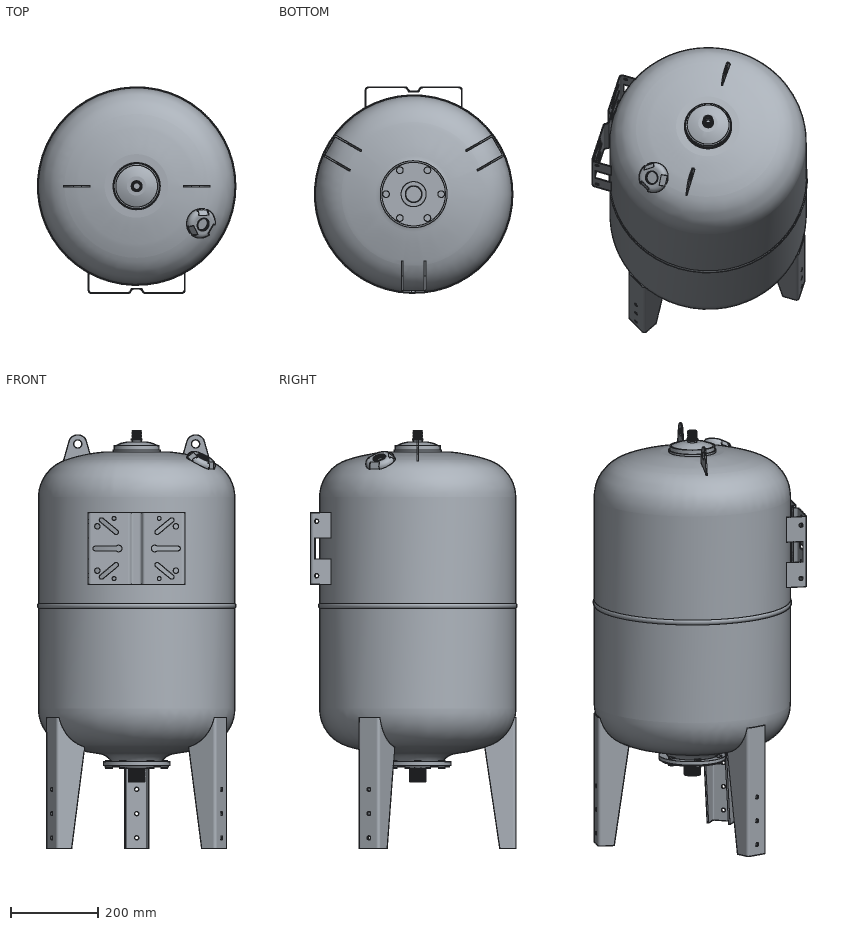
import cadquery as cq
import math

TANK_R = 225.0
LOWER_SEAM_Z = 321.0
UPPER_SEAM_Z = 804.0
KNUCKLE_R = 90.0
CROWN_R = 373.0
TANGENT_R = 165.0
BAND_BULGE = 2.4
BAND_R = TANK_R + BAND_BULGE
BAND_Z = 556.0
BAND_HEIGHT = 11.5
TOP_FLAT_R = 73.0

CAP_R = 52.0
CAP_LIP_R = 108.0 / 2
CAP_LIP_TOP_Z = 913.0
CAP_RIM_Z = 923.0
CAP_TOP_Z = 931.0
CAP_TOP_R = 22.0
CAP_DOME_R = 48.0
CAP_DOME_BULGE = 1.4
COLLAR_R = 12.0
COLLAR_Z = 935.0
COLLAR_HEIGHT = 3.0
STEM_R = 11.0
STEM_BORE_R = 8.0
STEM_TOP_Z = 957.0
STEM_THREADS = 7

FLARE_TOP_R = 86.0
FLARE_BOTTOM_R = 57.0
FLANGE_R = 77.0
FLANGE_TOP_Z = 199.0
COVER_R = 73.0
COVER_TOP_Z = 190.0
COVER_BOTTOM_Z = 188.0
HUB_R = 29.0
HUB_BOTTOM_Z = 184.0
SPIGOT_R = 19.0
SPIGOT_BOTTOM_Z = 153.0
SPIGOT_THREADS = 8
THREAD_DEPTH = 1.0
BOLT_COUNT = 6
BOLT_R = 8.0
BOLT_CIRCLE_R = 63.0
BOLT_TOP_Z = 202.0

LEG_COUNT = 3
FIRST_LEG_ANGLE = 90.0
LEG_WIDTH = 55.5
LEG_WALL = 4.0
LEG_BEND_R = 7.0
LEG_TOP_Z = 300.5
LEG_FOOT_R = 188.0
LEG_SHOULDER_R = 153.0
LEG_SHOULDER_Z = 233.5
LEG_HOLE_D = 9.0
LEG_HOLE_Z = 25.0
LEG_HOLE_PITCH = 55.5
LEG_HOLE_COUNT = 3

LUG_X = 135.0
LUG_THICKNESS = 3.0
LUG_HEAD_R = 21.0
LUG_HEAD_Z = 926.0
LUG_HOLE_D = 18.0
LUG_FOOT_HALF = 33.5
LUG_FOOT_Z = 885.0

PLUG_ANGLE = -30.0
PLUG_TILT = 30.0
PLUG_CENTER_R = 171.0
PLUG_CENTER_Z = 887.0
PLUG_R = 34.0
PLUG_ABOVE = 11.0
PLUG_BELOW = 19.0
PLUG_ROUND = 11.5
PLUG_RECESS_R = 15.0
PLUG_RECESS_DEPTH = 10.0
PLUG_THREADS = 3
PLUG_GRIP_COUNT = 3
PLUG_GRIP_DEPTH = 4.0
PLUG_GRIP_WIDTH = 25.0
PLUG_GRIP_TOP_R = 22.0
PLUG_GRIP_BOTTOM_R = 32.0

BRACKET_WIDTH = 222.0
BRACKET_BOTTOM_Z = 605.0
BRACKET_HEIGHT = 165.0
OVERALL_DEPTH = 473.0
BRACKET_FRONT_Y = BAND_R - OVERALL_DEPTH
BRACKET_WALL = 2.0
BRACKET_BEND_R = 8.0
BRACKET_FLANGE_END_Y = -198.0
GROOVE_MOUTH_HALF = 16.0
GROOVE_FLOOR_HALF = 10.0
GROOVE_DEPTH = 10.0
GROOVE_BEND_R = 6.0
WINDOW_HEIGHT = 48.0
WINDOW_FRONT_Y = -236.0
SIDE_HOLE_D = 9.0
SIDE_HOLE_Y = -232.0
SIDE_HOLE_RISE = 62.0
SLOT_WIDTH = 11.0
KEYHOLE_D = 15.0
KEYHOLE_X = 41.0
KEYHOLE_SLOT_END_X = 95.0
SLANT_INNER = (47.0, 37.0)
SLANT_OUTER = (80.0, 65.0)
SMALL_HOLE = (52.0, 69.0)
SMALL_HOLE_D = 9.0
LARGE_HOLE = (90.0, 51.0)
LARGE_HOLE_D = 12.0

KNUCKLE_CENTER_R = TANK_R - KNUCKLE_R
TANGENT_ANGLE = math.asin((TANGENT_R - KNUCKLE_CENTER_R) / KNUCKLE_R)
TANGENT_RISE = KNUCKLE_R * math.cos(TANGENT_ANGLE)
CROWN_CENTER_R = TANGENT_R - CROWN_R * math.sin(TANGENT_ANGLE)
CROWN_CENTER_RISE = TANGENT_RISE - CROWN_R * math.cos(TANGENT_ANGLE)
KNUCKLE_MID_ANGLE = (math.pi / 2 + TANGENT_ANGLE) / 2
KNUCKLE_MID_R = KNUCKLE_CENTER_R + KNUCKLE_R * math.sin(KNUCKLE_MID_ANGLE)
KNUCKLE_MID_RISE = KNUCKLE_R * math.cos(KNUCKLE_MID_ANGLE)


def crown_rise(radius):
    """Height of the crown above the seam plane at a distance from the axis."""
    return CROWN_CENTER_RISE + math.sqrt(CROWN_R**2 - (radius - CROWN_CENTER_R) ** 2)


TOP_FLAT_Z = UPPER_SEAM_Z + crown_rise(TOP_FLAT_R)
FLARE_TOP_Z = LOWER_SEAM_Z - crown_rise(FLARE_TOP_R)


def revolve_about_z(profile):
    """Solid of revolution from a half profile that starts and ends on the axis."""
    return profile.close().revolve(360, (0, 0, 0), (0, 1, 0))


def threaded_rod(radius, bottom_z, top_z, count):
    """Rod with evenly spaced V-shaped thread rings."""
    pitch = (top_z - bottom_z) / count
    profile = cq.Workplane("XZ").moveTo(0, bottom_z).lineTo(radius - THREAD_DEPTH, bottom_z)
    for i in range(count):
        ring_z = bottom_z + i * pitch
        profile = profile.lineTo(radius, ring_z + pitch / 2)
        profile = profile.lineTo(radius - THREAD_DEPTH, ring_z + pitch)
    return revolve_about_z(profile.lineTo(0, top_z))


def cylinder(radius, bottom_z, top_z):
    return cq.Workplane("XY").workplane(offset=bottom_z).circle(radius).extrude(top_z - bottom_z)


def make_shell():
    """Dished cylinder with the middle band and the flared bottom neck."""
    crown_mid_top_r = (TANGENT_R + TOP_FLAT_R) / 2
    crown_mid_low_r = (TANGENT_R + FLARE_TOP_R) / 2
    profile = (
        cq.Workplane("XZ")
        .moveTo(0, TOP_FLAT_Z)
        .lineTo(TOP_FLAT_R, TOP_FLAT_Z)
        .threePointArc(
            (crown_mid_top_r, UPPER_SEAM_Z + crown_rise(crown_mid_top_r)),
            (TANGENT_R, UPPER_SEAM_Z + TANGENT_RISE),
        )
        .threePointArc((KNUCKLE_MID_R, UPPER_SEAM_Z + KNUCKLE_MID_RISE), (TANK_R, UPPER_SEAM_Z))
        .lineTo(TANK_R, BAND_Z + BAND_HEIGHT / 2)
        .threePointArc((BAND_R, BAND_Z), (TANK_R, BAND_Z - BAND_HEIGHT / 2))
        .lineTo(TANK_R, LOWER_SEAM_Z)
        .threePointArc(
            (KNUCKLE_MID_R, LOWER_SEAM_Z - KNUCKLE_MID_RISE),
            (TANGENT_R, LOWER_SEAM_Z - TANGENT_RISE),
        )
        .threePointArc(
            (crown_mid_low_r, LOWER_SEAM_Z - crown_rise(crown_mid_low_r)),
            (FLARE_TOP_R, FLARE_TOP_Z),
        )
        .tangentArcPoint((FLARE_BOTTOM_R, FLANGE_TOP_Z), relative=False)
        .lineTo(0, FLANGE_TOP_Z)
    )
    return revolve_about_z(profile)


def make_top_cap():
    """Domed cap with a lip, a collar and a bored threaded stem."""
    dome_mid = ((CAP_TOP_R + CAP_DOME_R) / 2, (CAP_TOP_Z + CAP_RIM_Z) / 2 + CAP_DOME_BULGE)
    dome = revolve_about_z(
        cq.Workplane("XZ")
        .moveTo(0, TOP_FLAT_Z)
        .lineTo(CAP_R, TOP_FLAT_Z)
        .lineTo(CAP_R, CAP_RIM_Z)
        .lineTo(CAP_DOME_R, CAP_RIM_Z)
        .threePointArc(dome_mid, (CAP_TOP_R, CAP_TOP_Z))
        .lineTo(0, CAP_TOP_Z)
    )
    lip = cylinder(CAP_LIP_R, TOP_FLAT_Z, CAP_LIP_TOP_Z)
    neck = cylinder(STEM_R, CAP_TOP_Z, COLLAR_Z)
    collar = cylinder(COLLAR_R, COLLAR_Z, COLLAR_Z + COLLAR_HEIGHT)
    stem = threaded_rod(STEM_R, COLLAR_Z + COLLAR_HEIGHT, STEM_TOP_Z, STEM_THREADS)
    bore = cylinder(STEM_BORE_R, CAP_TOP_Z, STEM_TOP_Z)
    return dome.union(lip).union(neck).union(collar).union(stem).cut(bore)


def make_bottom_flange():
    """Bolted flange and cover with the threaded outlet spigot."""
    flange = cylinder(FLANGE_R, COVER_TOP_Z, FLANGE_TOP_Z)
    cover = cylinder(COVER_R, COVER_BOTTOM_Z, COVER_TOP_Z)
    hub = cylinder(HUB_R, HUB_BOTTOM_Z, COVER_BOTTOM_Z)
    spigot = threaded_rod(SPIGOT_R, SPIGOT_BOTTOM_Z, HUB_BOTTOM_Z, SPIGOT_THREADS)
    bolts = (
        cq.Workplane("XY")
        .workplane(offset=HUB_BOTTOM_Z)
        .polarArray(BOLT_CIRCLE_R, 0, 360, BOLT_COUNT)
        .circle(BOLT_R)
        .extrude(BOLT_TOP_Z - HUB_BOTTOM_Z)
    )
    return flange.union(cover).union(hub).union(spigot).union(bolts)


def make_leg():
    """Tapered channel standing on the +X side, its web tangent to the tank."""
    channel_depth = TANK_R - LEG_SHOULDER_R
    channel_center = TANK_R - channel_depth / 2
    outer = (
        cq.Workplane("XY")
        .center(channel_center, 0)
        .rect(channel_depth, LEG_WIDTH)
        .extrude(LEG_TOP_Z)
        .edges("|Z and >X")
        .fillet(LEG_BEND_R)
    )
    inner = (
        cq.Workplane("XY")
        .center(channel_center - LEG_WALL, 0)
        .rect(channel_depth, LEG_WIDTH - 2 * LEG_WALL)
        .extrude(LEG_TOP_Z)
        .edges("|Z and >X")
        .fillet(LEG_BEND_R - LEG_WALL)
    )
    side_outline = (
        cq.Workplane("XZ")
        .polyline([
            (LEG_FOOT_R, 0),
            (TANK_R, 0),
            (TANK_R, LEG_TOP_Z),
            (LEG_SHOULDER_R, LEG_TOP_Z),
            (LEG_SHOULDER_R, LEG_SHOULDER_Z),
        ])
        .close()
        .extrude(LEG_WIDTH / 2, both=True)
    )
    hole_heights = [LEG_HOLE_Z + i * LEG_HOLE_PITCH for i in range(LEG_HOLE_COUNT)]
    holes = (
        cq.Workplane("YZ")
        .pushPoints([(0, z) for z in hole_heights])
        .circle(LEG_HOLE_D / 2)
        .extrude(TANK_R)
    )
    return outer.cut(inner).intersect(side_outline).cut(holes)


def make_lug(side):
    """Lifting eye on the crown; side is -1 or 1 along X."""
    foot_drop = LUG_HEAD_Z - LUG_FOOT_Z
    foot_distance = math.hypot(LUG_FOOT_HALF, foot_drop)
    flank = math.acos(LUG_HEAD_R / foot_distance) - math.atan2(foot_drop, LUG_FOOT_HALF)
    touch_x = LUG_HEAD_R * math.cos(flank)
    touch_z = LUG_HEAD_Z + LUG_HEAD_R * math.sin(flank)
    lug_x = side * LUG_X
    return (
        cq.Workplane("XZ")
        .moveTo(lug_x - LUG_FOOT_HALF, LUG_FOOT_Z)
        .lineTo(lug_x - touch_x, touch_z)
        .threePointArc((lug_x, LUG_HEAD_Z + LUG_HEAD_R), (lug_x + touch_x, touch_z))
        .lineTo(lug_x + LUG_FOOT_HALF, LUG_FOOT_Z)
        .close()
        .moveTo(lug_x, LUG_HEAD_Z)
        .circle(LUG_HOLE_D / 2)
        .extrude(LUG_THICKNESS / 2, both=True)
    )


def make_plug():
    """Rounded plug with three sloped grips and a threaded recess; it leans out of the upper knuckle."""
    body = cylinder(PLUG_R, -PLUG_BELOW, PLUG_ABOVE).faces(">Z").edges().fillet(PLUG_ROUND)
    grip = (
        cq.Workplane("XZ")
        .polyline([
            (PLUG_GRIP_BOTTOM_R, -PLUG_GRIP_DEPTH),
            (PLUG_GRIP_TOP_R, PLUG_ABOVE),
            (2 * PLUG_R, PLUG_ABOVE),
            (2 * PLUG_R, -PLUG_GRIP_DEPTH),
        ])
        .close()
        .extrude(PLUG_GRIP_WIDTH / 2, both=True)
    )
    for i in range(PLUG_GRIP_COUNT):
        body = body.cut(grip.rotate((0, 0, 0), (0, 0, 1), i * 360 / PLUG_GRIP_COUNT))
    recess = threaded_rod(PLUG_RECESS_R, PLUG_ABOVE - PLUG_RECESS_DEPTH, PLUG_ABOVE, PLUG_THREADS)
    return (
        body.cut(recess)
        .rotate((0, 0, 0), (0, 1, 0), PLUG_TILT)
        .translate((PLUG_CENTER_R, 0, PLUG_CENTER_Z))
        .rotate((0, 0, 0), (0, 0, 1), PLUG_ANGLE)
    )


def make_tank():
    tank = make_shell().union(make_top_cap()).union(make_bottom_flange()).union(make_plug())
    leg = make_leg()
    for i in range(LEG_COUNT):
        tank = tank.union(leg.rotate((0, 0, 0), (0, 0, 1), FIRST_LEG_ANGLE + i * 360 / LEG_COUNT))
    for side in (-1, 1):
        tank = tank.union(make_lug(side))
    return tank


def bracket_prism(points):
    """Upright prism over the bracket's full height."""
    return (
        cq.Workplane("XY")
        .workplane(offset=BRACKET_BOTTOM_Z)
        .polyline(points)
        .close()
        .extrude(BRACKET_HEIGHT)
    )


def bracket_channel(half_width, front_y):
    """Block from the front face to the flange ends."""
    return bracket_prism([
        (-half_width, front_y),
        (half_width, front_y),
        (half_width, BRACKET_FLANGE_END_Y),
        (-half_width, BRACKET_FLANGE_END_Y),
    ])


def groove_prism(wall, mouth_y, floor_y):
    """Tapered block: the groove itself, or the groove with its walls."""
    return bracket_prism([
        (-GROOVE_MOUTH_HALF - wall, mouth_y),
        (GROOVE_MOUTH_HALF + wall, mouth_y),
        (GROOVE_FLOOR_HALF + wall, floor_y),
        (-GROOVE_FLOOR_HALF - wall, floor_y),
    ])


def bracket_cutters():
    """Slots, keyholes and round holes through the front plate."""
    mid_z = BRACKET_BOTTOM_Z + BRACKET_HEIGHT / 2

    def holes(points, diameter):
        return (
            cq.Workplane("XZ", origin=(0, BRACKET_FRONT_Y + BRACKET_BEND_R, mid_z))
            .pushPoints(points)
            .circle(diameter / 2)
            .extrude(BRACKET_BEND_R)
        )

    def slot(start, end):
        run = end[0] - start[0]
        rise = end[1] - start[1]
        return (
            cq.Workplane("XZ", origin=(0, BRACKET_FRONT_Y + BRACKET_BEND_R, mid_z))
            .center((start[0] + end[0]) / 2, (start[1] + end[1]) / 2)
            .slot2D(math.hypot(run, rise) + SLOT_WIDTH, SLOT_WIDTH, math.degrees(math.atan2(rise, run)))
            .extrude(BRACKET_BEND_R)
        )

    def four_corners(point):
        return [(sx * point[0], sz * point[1]) for sx in (-1, 1) for sz in (-1, 1)]

    cutters = holes(four_corners(SMALL_HOLE), SMALL_HOLE_D)
    cutters = cutters.union(holes(four_corners(LARGE_HOLE), LARGE_HOLE_D))
    cutters = cutters.union(holes([(-KEYHOLE_X, 0), (KEYHOLE_X, 0)], KEYHOLE_D))
    for side in (-1, 1):
        cutters = cutters.union(slot((side * KEYHOLE_X, 0), (side * KEYHOLE_SLOT_END_X, 0)))
    for inner, outer in zip(four_corners(SLANT_INNER), four_corners(SLANT_OUTER)):
        cutters = cutters.union(slot(inner, outer))
    return cutters


def make_bracket():
    """Folded mounting bracket with a stiffening groove and windowed side flanges."""
    half_width = BRACKET_WIDTH / 2
    back_y = BRACKET_FRONT_Y + BRACKET_WALL
    mid_z = BRACKET_BOTTOM_Z + BRACKET_HEIGHT / 2

    outer = bracket_channel(half_width, BRACKET_FRONT_Y).edges("|Z and <Y").fillet(BRACKET_BEND_R)
    inner = bracket_channel(half_width - BRACKET_WALL, back_y)
    inner = inner.edges("|Z and <Y").fillet(BRACKET_BEND_R - BRACKET_WALL)
    floor_y = BRACKET_FRONT_Y + GROOVE_DEPTH
    rib = groove_prism(BRACKET_WALL, BRACKET_FRONT_Y, floor_y + BRACKET_WALL)
    groove = groove_prism(0, BRACKET_FRONT_Y, floor_y)
    groove = groove.edges("|Z and >Y").fillet(GROOVE_BEND_R)
    bracket = outer.cut(inner).union(rib).cut(groove)
    mouth_edges = cq.selectors.BoxSelector(
        (-2 * GROOVE_MOUTH_HALF, BRACKET_FRONT_Y - GROOVE_BEND_R, BRACKET_BOTTOM_Z),
        (2 * GROOVE_MOUTH_HALF, BRACKET_FRONT_Y + GROOVE_BEND_R, BRACKET_BOTTOM_Z + BRACKET_HEIGHT),
    )
    bracket = bracket.edges("|Z").edges(mouth_edges).fillet(GROOVE_BEND_R)

    window_depth = BRACKET_FLANGE_END_Y - WINDOW_FRONT_Y
    window = cq.Workplane("XY").box(BRACKET_WIDTH, window_depth, WINDOW_HEIGHT)
    window = window.translate((0, WINDOW_FRONT_Y + window_depth / 2, mid_z))
    side_holes = (
        cq.Workplane("YZ")
        .pushPoints([(SIDE_HOLE_Y, mid_z - SIDE_HOLE_RISE), (SIDE_HOLE_Y, mid_z + SIDE_HOLE_RISE)])
        .circle(SIDE_HOLE_D / 2)
        .extrude(half_width, both=True)
    )
    bracket = bracket.cut(window.cut(rib)).cut(side_holes.cut(rib)).cut(bracket_cutters())
    return bracket.cut(cylinder(TANK_R, BRACKET_BOTTOM_Z, BRACKET_BOTTOM_Z + BRACKET_HEIGHT))


tank = make_tank()
bracket = make_bracket()

result = cq.Compound.makeCompound([tank.val(), bracket.val()])